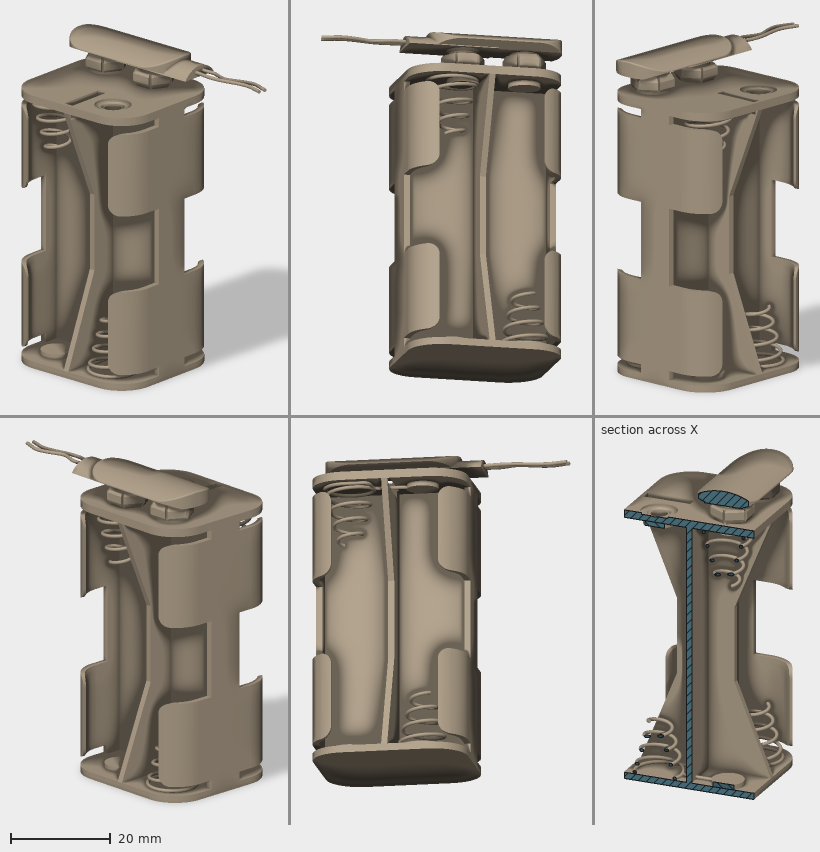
import cadquery as cq
import math


HOLDER_X = 31.5
HOLDER_Y = 28.5
CORNER_RADIUS = 7.0
WALL = 1.25
BOTTOM_PLATE = 1.45
PLATE_TOP_Z = 58.1
TOP_PLATE = 1.7
CEILING_Z = PLATE_TOP_Z - TOP_PLATE
MID_WINDOW = (21.0, 37.1)
END_WINDOW = 1.9
SPINE_HALF_Y = 3.9
CLAW_REACH = 4.85
CLAW_CORNER = 2.35
CLAW_INNER_RADIUS = 6.8
DIVIDER_WAIST_Y = 6.3
TOP_SLOT = (2.15, 10.25, 3.15)
TOP_SLOT_Y = -8.3
WIRE_NOTCH = 0.85

CELL_LEFT_X = -8.25
CELL_RIGHT_X = 6.7
CELL_Y = 7.55
WIRE = 0.7
SPRING_BASE_RADIUS = 5.0
SPRING_TIP_RADIUS = 2.15
SPRING_RISE = 11.15
FLAT_START, FLAT_END, COIL_END = -180, 80, 320 + 3 * 360
COIL_POINTS = 66
LEAD_STRAIGHT = 3.55
LEAD_AXIS_MARGIN = 1.3
TOP_BUTTON_D, TOP_BUTTON = 6.5, 1.0
BOTTOM_BUTTON_D, BOTTOM_BUTTON = 6.7, 1.05
BUTTON_FLOOR = 0.2
CAVITY_D = 3.5
EYE_RECESS_D = 7.5
EYE_RECESS_DEPTH = 0.3
EYE_HOLE_D = 4.4
EYE_CHAMFER = 0.3

SNAP_PITCH = 12.7
SNAP_LEFT_X = CELL_LEFT_X
SNAP_RIGHT_X = SNAP_LEFT_X + SNAP_PITCH
SHANK_D = 4.0
STUD_D = 5.8
STUD_FOOT_D = 7.0
STUD_FOOT = 0.5
STUD_HEIGHT = 2.9
SOCKET_SIDES = 6
SOCKET_CORNER_D = 9.2
SOCKET_BASE_CORNER_D = 7.9
SOCKET_MOUTH_CORNER_D = 8.5
SOCKET_BASE, SOCKET_FLAT, SOCKET_MOUTH = 1.05, 1.6, 0.45
SOCKET_HEIGHT = SOCKET_BASE + SOCKET_FLAT + SOCKET_MOUTH
SOCKET_BORE_DEPTH = 2.55
SOCKET_SLIT = 0.5
SOCKET_SLIT_RADIUS = 3.6
COLLAR_D = 6.0

CLIP_TOP_Z = 65.6
CLIP_EDGE_Z = 63.5
CLIP_EDGE = 0.25
CLIP_BASE_Z = 62.4
CLIP_LEFT_X = -HOLDER_X / 2
CLIP_X = 27.55
CLIP_Y = 13.05
CLIP_CORNER = 6.05
CLIP_BASE_HALF_Y = 3.6
CLIP_FILLET = 0.3
CLIP_CENTRE_X = CLIP_LEFT_X + CLIP_X / 2
SNAP_GAP = 0.65
COLLAR = CLIP_BASE_Z - PLATE_TOP_Z - SOCKET_HEIGHT - SNAP_GAP
NECK_END_X = 16.5
NECK_HALF_Y = 4.3
NECK_TOP_Z = 64.7

WIRE_Z = 63.45
WIRE_PATHS = [
    [(NECK_END_X, 8.5), (19.7, 8.5), (23.4, 7.4), (26.05, 8.2), (29.8, 9.05), (33.8, 7.8)],
    [(NECK_END_X, 6.55), (19.4, 6.2), (22.55, 6.2), (26.3, 7.0), (29.8, 7.35), (33.5, 6.35)],
]


def block(x0, x1, y0, y1, z0, z1):
    return cq.Workplane("XY").box(x1 - x0, y1 - y0, z1 - z0, centered=False).translate((x0, y0, z0))


def disc(diameter, height, z=0.0):
    return cq.Workplane("XY", origin=(0, 0, z)).circle(diameter / 2).extrude(height)


def rounded_block(size_x, size_y, radius, z0, z1):
    """Upright block, centred on the Z axis, with rounded corners."""
    footprint = cq.Workplane("XY", origin=(0, 0, z0)).rect(size_x, size_y)
    return footprint.extrude(z1 - z0).edges("|Z").fillet(radius)


def rounded_outline(z0, z1):
    """Block with the outline of the plates."""
    return rounded_block(HOLDER_X, HOLDER_Y, CORNER_RADIUS, z0, z1)


def side_walls():
    """Both side walls with their claws, which follow the rounded outline of the plates."""
    inner_x = HOLDER_X - 2 * WALL
    inner_y = HOLDER_Y - 2 * (CORNER_RADIUS - CLAW_INNER_RADIUS)
    inside = rounded_block(inner_x, inner_y, CLAW_INNER_RADIUS, 0, PLATE_TOP_Z)
    shell = rounded_outline(0, PLATE_TOP_Z).cut(inside)
    half_x, half_y = HOLDER_X / 2, HOLDER_Y / 2
    kept = None
    for side in (-1, 1):
        outer, tip = side * half_x, side * (half_x - CLAW_REACH)
        x0, x1 = min(outer, tip), max(outer, tip)
        spine = block(x0, x1, -SPINE_HALF_Y, SPINE_HALF_Y, 0, PLATE_TOP_Z)
        kept = spine if kept is None else kept.union(spine)
        claw_heights = [
            (BOTTOM_PLATE + END_WINDOW, MID_WINDOW[0]),
            (MID_WINDOW[1], CEILING_Z - END_WINDOW),
        ]
        for z0, z1 in claw_heights:
            claw = block(x0, x1, -half_y, half_y, z0, z1)
            tip_face = "<X" if side > 0 else ">X"
            kept = kept.union(claw.faces(tip_face).edges("|Y").fillet(CLAW_CORNER))
    return shell.intersect(kept)


def divider():
    """Upright web between the left and right cells, waisted half way up."""
    edge_y = HOLDER_Y / 2
    return (
        cq.Workplane("YZ", origin=(-WALL / 2, 0, 0))
        .moveTo(-edge_y, BOTTOM_PLATE)
        .lineTo(-DIVIDER_WAIST_Y, MID_WINDOW[0])
        .lineTo(-DIVIDER_WAIST_Y, MID_WINDOW[1])
        .lineTo(-edge_y, CEILING_Z)
        .lineTo(edge_y, CEILING_Z)
        .lineTo(DIVIDER_WAIST_Y, MID_WINDOW[1])
        .lineTo(DIVIDER_WAIST_Y, MID_WINDOW[0])
        .lineTo(edge_y, BOTTOM_PLATE)
        .close()
        .extrude(WALL)
    )


def make_housing():
    half_x = HOLDER_X / 2 - WALL / 2
    body = rounded_outline(0, BOTTOM_PLATE)
    body = body.union(rounded_outline(CEILING_Z, PLATE_TOP_Z))
    body = body.union(side_walls()).union(divider())
    body = body.union(block(-half_x, half_x, -WALL / 2, WALL / 2, BOTTOM_PLATE, CEILING_Z))

    slot_x, slot_y, slot_depth = TOP_SLOT
    slot = cq.Workplane("XY").box(slot_x, slot_y, slot_depth)
    body = body.cut(slot.translate((0, TOP_SLOT_Y, PLATE_TOP_Z - slot_depth / 2)))

    for x in (CELL_LEFT_X, CELL_RIGHT_X):
        notch = cq.Workplane("XY").box(WIRE_NOTCH, 2 * WALL, WIRE_NOTCH)
        body = body.cut(notch.translate((x, 0, BOTTOM_PLATE + WIRE_NOTCH / 2)))

    eye = disc(EYE_RECESS_D, EYE_RECESS_DEPTH, -EYE_RECESS_DEPTH)
    eye = eye.union(disc(EYE_HOLE_D, TOP_PLATE, -TOP_PLATE))
    flare = (
        cq.Workplane("XY", origin=(0, 0, -EYE_RECESS_DEPTH - EYE_CHAMFER))
        .circle(EYE_HOLE_D / 2)
        .workplane(offset=EYE_CHAMFER)
        .circle(EYE_HOLE_D / 2 + EYE_CHAMFER)
        .loft()
    )
    body = body.cut(eye.union(flare).translate((CELL_RIGHT_X, -CELL_Y, PLATE_TOP_Z)))

    for x in (SNAP_LEFT_X, SNAP_RIGHT_X):
        body = body.cut(disc(SHANK_D, TOP_PLATE, CEILING_Z).translate((x, CELL_Y, 0)))
    return body


def spring_point(angle):
    """Point on the spring's centreline: a flat part turn, then a cone-shaped coil."""
    climb = max(0.0, (angle - FLAT_END) / (COIL_END - FLAT_END))
    radius = SPRING_BASE_RADIUS + climb * (SPRING_TIP_RADIUS - SPRING_BASE_RADIUS)
    turn = math.radians(angle)
    return cq.Vector(radius * math.cos(turn), radius * math.sin(turn), WIRE / 2 + climb * SPRING_RISE)


def wire_along(path):
    start = path.positionAt(0)
    plane = cq.Plane(origin=start.toTuple(), normal=path.tangentAt(0).toTuple())
    return cq.Workplane(plane).circle(WIRE / 2).sweep(cq.Workplane(path), isFrenet=False)


def coil():
    """Conical spring that stands on z = 0, its base turn starting at the -X side."""
    flat_angles = (FLAT_START, (FLAT_START + FLAT_END) / 2, FLAT_END)
    flat = cq.Edge.makeThreePointArc(*[spring_point(angle) for angle in flat_angles])
    step = (COIL_END - FLAT_END) / COIL_POINTS
    angles = [FLAT_END + i * step for i in range(COIL_POINTS + 1)]
    climb = cq.Edge.makeSpline([spring_point(angle) for angle in angles])
    return wire_along(flat).union(wire_along(climb))


def bridge_contact(span, button_d, button_height):
    """Spring at the origin, wired to a button at a distance of span along +Y."""
    z = WIRE / 2
    begin = cq.Vector(-SPRING_BASE_RADIUS, 0, z)
    bend = cq.Vector(-SPRING_BASE_RADIUS, LEAD_STRAIGHT, z)
    on_axis = cq.Vector(0, span / 2 - LEAD_AXIS_MARGIN, z)
    end = cq.Vector(0, span - (button_d + CAVITY_D) / 4, z)
    along = cq.Vector(0, 1, 0)
    path = cq.Wire.assembleEdges([
        cq.Edge.makeLine(begin, bend),
        cq.Edge.makeSpline([bend, on_axis], tangents=[along, along]),
        cq.Edge.makeLine(on_axis, end),
    ])
    button = disc(button_d, button_height).translate((0, span, 0))
    return coil().union(wire_along(path)).union(button)


def make_right_contact():
    contact = bridge_contact(2 * CELL_Y, BOTTOM_BUTTON_D, BOTTOM_BUTTON)
    return contact.translate((CELL_RIGHT_X, -CELL_Y, BOTTOM_PLATE))


def make_left_contact():
    contact = bridge_contact(2 * CELL_Y, BOTTOM_BUTTON_D, BOTTOM_BUTTON)
    contact = contact.rotate((0, 0, 0), (0, 0, 1), 180)
    return contact.translate((CELL_LEFT_X, CELL_Y, BOTTOM_PLATE))


def make_top_contact():
    """Hangs from the top plate; its button is a cup whose sleeve stands in the eye of the plate."""
    span = CELL_RIGHT_X - CELL_LEFT_X
    sleeve_height = TOP_PLATE - EYE_RECESS_DEPTH - EYE_CHAMFER
    sleeve = disc(EYE_HOLE_D, sleeve_height, -sleeve_height)
    cavity = disc(CAVITY_D, sleeve_height + TOP_BUTTON - BUTTON_FLOOR, -sleeve_height)
    contact = bridge_contact(span, TOP_BUTTON_D, TOP_BUTTON)
    contact = contact.union(sleeve.translate((0, span, 0))).cut(cavity.translate((0, span, 0)))
    contact = contact.rotate((0, 0, 0), (1, 0, 0), 180).rotate((0, 0, 0), (0, 0, 1), 90)
    return contact.translate((CELL_LEFT_X, -CELL_Y, CEILING_Z))


def stud():
    """Round stud on z = 0 with a flared foot."""
    foot = (
        cq.Workplane("XY")
        .circle(STUD_FOOT_D / 2)
        .workplane(offset=STUD_FOOT)
        .circle(STUD_D / 2)
        .loft()
    )
    return foot.union(disc(STUD_D, STUD_HEIGHT))


def hex_taper(corner_d, next_corner_d, z, height):
    return (
        cq.Workplane("XY", origin=(0, 0, z))
        .polygon(SOCKET_SIDES, corner_d)
        .workplane(offset=height)
        .polygon(SOCKET_SIDES, next_corner_d)
        .loft(ruled=True)
    )


def socket():
    """Six-sided snap socket on z = 0, open at the top, slit at each corner."""
    body = hex_taper(SOCKET_BASE_CORNER_D, SOCKET_CORNER_D, 0, SOCKET_BASE)
    body = body.union(hex_taper(SOCKET_CORNER_D, SOCKET_CORNER_D, SOCKET_BASE, SOCKET_FLAT))
    mouth_z = SOCKET_BASE + SOCKET_FLAT
    body = body.union(hex_taper(SOCKET_CORNER_D, SOCKET_MOUTH_CORNER_D, mouth_z, SOCKET_MOUTH))
    body = body.cut(disc(STUD_D, SOCKET_BORE_DEPTH, SOCKET_HEIGHT - SOCKET_BORE_DEPTH))
    half = SOCKET_SLIT / 2
    slit = block(SOCKET_SLIT_RADIUS, SOCKET_CORNER_D, -half, half, 0, SOCKET_HEIGHT)
    for corner in range(SOCKET_SIDES):
        body = body.cut(slit.rotate((0, 0, 0), (0, 0, 1), corner * 360 / SOCKET_SIDES))
    return body


def rivet():
    """Shank through the top plate with a button under it; z = 0 is the plate's top face."""
    button = disc(TOP_BUTTON_D, TOP_BUTTON, -TOP_PLATE - TOP_BUTTON)
    return disc(SHANK_D, TOP_PLATE, -TOP_PLATE).union(button)


def make_stud_terminal():
    return rivet().union(stud()).translate((SNAP_LEFT_X, CELL_Y, PLATE_TOP_Z))


def make_socket_terminal():
    """Socket whose rivet holds the spring of the rear right cell."""
    head = rivet().union(socket()).translate((SNAP_RIGHT_X, CELL_Y, PLATE_TOP_Z))
    spring = coil().rotate((0, 0, 0), (1, 0, 0), 180)
    return head.union(spring.translate((CELL_RIGHT_X, CELL_Y, CEILING_Z)))


def make_clip_cover():
    """Lens-shaped cover with a wire neck and the stud that plugs into the socket terminal."""
    half_y = CLIP_Y / 2
    section = (
        cq.Workplane("YZ", origin=(-CLIP_X / 2, 0, 0))
        .moveTo(-half_y, CLIP_EDGE_Z + CLIP_EDGE)
        .threePointArc((0, CLIP_TOP_Z), (half_y, CLIP_EDGE_Z + CLIP_EDGE))
        .lineTo(half_y, CLIP_EDGE_Z)
        .lineTo(CLIP_BASE_HALF_Y, CLIP_BASE_Z)
        .lineTo(-CLIP_BASE_HALF_Y, CLIP_BASE_Z)
        .lineTo(-half_y, CLIP_EDGE_Z)
        .close()
        .extrude(CLIP_X)
    )
    outline = rounded_block(CLIP_X, CLIP_Y, CLIP_CORNER, CLIP_BASE_Z, CLIP_TOP_Z)
    shell = section.intersect(outline).faces(">Z").edges().fillet(CLIP_FILLET)
    neck = (
        cq.Workplane("YZ")
        .moveTo(-NECK_HALF_Y, CLIP_BASE_Z)
        .threePointArc((0, NECK_TOP_Z), (NECK_HALF_Y, CLIP_BASE_Z))
        .close()
        .extrude(NECK_END_X - CLIP_CENTRE_X)
    )
    plug = stud().rotate((0, 0, 0), (1, 0, 0), 180)
    plug = plug.translate((SNAP_RIGHT_X - CLIP_CENTRE_X, 0, CLIP_BASE_Z))
    cover = shell.union(neck).union(plug)
    return cover.translate((CLIP_CENTRE_X, CELL_Y, 0))


def make_clip_socket():
    """Socket under the cover, on a round collar, that snaps over the stud terminal."""
    body = disc(COLLAR_D, COLLAR, -COLLAR).union(socket())
    body = body.rotate((0, 0, 0), (1, 0, 0), 180)
    return body.translate((SNAP_LEFT_X, CELL_Y, CLIP_BASE_Z - COLLAR))


def make_wire(points):
    """Wire that leaves the neck squarely and ends on the heading of its last two points."""
    places = [cq.Vector(x, y, WIRE_Z) for x, y in points]
    leaving = cq.Vector(1, 0, 0)
    ending = (places[-1] - places[-2]).normalized()
    return wire_along(cq.Edge.makeSpline(places, tangents=[leaving, ending]))


housing = make_housing()
right_contact = make_right_contact()
left_contact = make_left_contact()
top_contact = make_top_contact()
stud_terminal = make_stud_terminal()
socket_terminal = make_socket_terminal()
clip_cover = make_clip_cover()
clip_socket = make_clip_socket()
wires = [make_wire(points) for points in WIRE_PATHS]

result = cq.Compound.makeCompound([
    housing.val(),
    right_contact.val(),
    left_contact.val(),
    top_contact.val(),
    stud_terminal.val(),
    socket_terminal.val(),
    clip_cover.val(),
    clip_socket.val(),
    *[wire.val() for wire in wires],
])